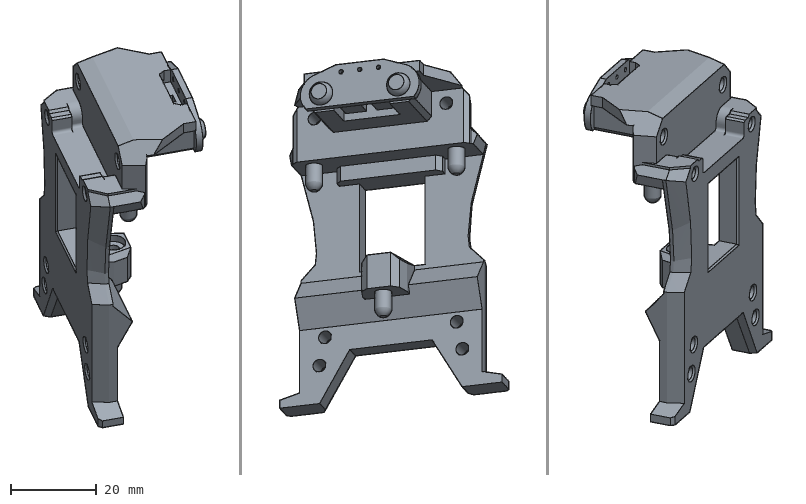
import cadquery as cq
import math


EDGE_Y = 4.0
PLATE_BACK_Y = 4.9
LOWER_BACK_Y = 5.97
FOOT_X = 27.35
FOOT_TIP_Z = 2.0
FOOT_CHAMFER = 0.85
LOWER_TOP_Z = 25.0
EAR_CHAMFER_Z = 62.4
EAR_TOP_Z = 63.0

FRONT_OUTLINE = [
    (FOOT_X, 0), (FOOT_X, FOOT_TIP_Z), (21.5, 3.5), (21.5, 31.9), (17.9, 35.6), (17.45, 39.0),
    (18.05, 48.4), (20.6, 59.9), (18.1, EAR_CHAMFER_Z), (18.1, EAR_TOP_Z),
]
BACK_OUTLINE = [
    (FOOT_X, 0), (FOOT_X, FOOT_TIP_Z), (22.45, 3.25), (22.45, 31.6), (18.95, 35.2), (18.65, 38.0),
    (19.4, 46.1), (23.07, 60.5), (21.1, EAR_CHAMFER_Z), (21.1, EAR_TOP_Z),
]

WINDOW_HALF = 8.05
WINDOW_BOTTOM_Z = 32.1
WINDOW_TOP_Z = 54.1
WINDOW_CHAMFER = 0.4
NOTCH_TOP = (10.1, 12.6)
NOTCH_FOOT_X = 17.5
NOTCH_BEVEL = 0.9
NOTCH_CORNER_BEVEL = 0.72
NOTCH_BEVEL_Y = 1.5

SADDLE_Z = 58.2
STEP_Y = 4.83
EAR_WALL_X = 11.3
EAR_FILLET = 0.8
EAR_SHOULDER = [(EAR_WALL_X, 62.0), (11.9, EAR_CHAMFER_Z), (13.5, EAR_CHAMFER_Z), (14.1, EAR_TOP_Z)]
EAR_HOLE = (15.5, 59.9)
EAR_BOSS_RADIUS = 3.1
LINTEL_HALF = 13.0
LINTEL_BACK_Y = 8.0
LINTEL_CHAMFER = 1.3

BRACKET_Y = 7.75
BRACKET_BACK_Y = 13.76
FLANGE_BOTTOM_Z = 57.83
FLANGE_BACK_Y = 12.75
FLANGE_BOTTOM_HALF = 22.36
FLANGE_CORNER = [(23.5, 10.9), (21.9, FLANGE_BACK_Y), (23.5, FLANGE_BACK_Y)]
BRACKET_HALF = 20.25
SLAB_BACK_BEVEL = [(25.0, 10.9), (20.5, BRACKET_BACK_Y)]
ROOF_HALF = 20.7
ROOF_CORNER_Y = 15.1
BRACKET_CORNER_Z = 69.8
BRACKET_CORNER = 3.35
DRAFT = math.tan(math.radians(15))
ROOF_Z = 74.16
ROOF_BOTTOM_Z = 71.5
ROOF_SLOPE_Y = 24.5
ROOF_BACK_HALF = 14.2
BOX_HALF = 12.6
BOX_BOTTOM_Z = 64.2
BOX_CHAMFER = 1.1

BOARD_Y = 27.48
BOARD_THICKNESS = 1.6
BOARD_BACK_Y = BOARD_Y + BOARD_THICKNESS
BOARD_BOTTOM_Z = 64.7
BOARD_TOP_Z = 74.89
BOARD_TAB_HALF = 5.9
BOARD_END_RADIUS = 5.1
BOARD_SHOULDER_ANGLE = 25.0
BOARD_HOLE_DIAMETER = 1.0
BOARD_HOLE_X = 4.6
BOARD_HOLE_Z = 73.0
SCREW_X = 9.5
SCREW_Z = 68.1
SCREW_DIAMETER = 3.0
SCREW_LENGTH = 6.0
HEAD_DIAMETER = 5.7
HEAD_FLAT_DIAMETER = 3.8
HEAD_BACK_Y = 30.73
HEAD_BULGE = (2.52, 0.99)
SENSOR_HALF = 6.4
SENSOR_FRONT_Y = 20.0
SENSOR_BOTTOM_Z = 66.0
SENSOR_TOP_Z = 71.0
SENSOR_SLOT_HALF = 1.3
SENSOR_SLOT_BACK_Y = 26.4
POCKET_HALF = 6.9
POCKET_NARROW_HALF = 5.9
POCKET_CHAMFER_Y = 25.9

PIN_DIAMETER = 4.0
PIN_TIP_DIAMETER = 1.6
PIN_TIP_HEIGHT = 1.6
PIN_TIP_BULGE = (1.6, 0.72)
UPPER_PIN = (17.5, 10.05)
UPPER_PIN_BOTTOM_Z = 51.65
UPPER_PIN_TOP_Z = 61.0
LOWER_PIN_Y = 11.58
LOWER_PIN_BOTTOM_Z = 17.6
LOWER_PIN_TOP_Z = 29.0
PIN_SCREW_DIAMETER = 2.8
PIN_SCREW_HEAD_DIAMETER = 5.7
PIN_SCREW_HEAD_DEPTH = 1.8
SHELF_BOTTOM_Z = 23.65
SHELF_BACK_Y = 15.0
SHELF_HALF = 5.5
SHELF_TAPER_Y = 10.2
SHELF_TAPER = 0.25
SHELF_CORNER_Y = 13.6
SHELF_CHAMFER = 1.4
WEDGE_TOP_Z = 31.0
WEDGE_TIP = (9.6, 25.6)
WEDGE_FOOT_Z = 18.8
WEDGE_HALF = 22.45

MOUNT_X = 16.2
MOUNT_ZS = (16.4, 68.2)
LEG_HOLE = (17.57, 9.5)
MOUNT_DIAMETER = 3.1
MOUNT_RIM_DIAMETER = 4.0
EAR_HOLE_DIAMETER = 2.6
EAR_RIM_DIAMETER = 3.7
EAR_HOLE_DEPTH = 7.0

BEYOND = 1.0


def front_plane(y):
    """Sketch plane at depth y: local x is X, local y is Z, negative extrusions grow along +Y."""
    return cq.Workplane(cq.Plane((0, y, 0), (1, 0, 0), (0, -1, 0)))


def prism(points, y0, y1):
    """Prism between two depths from (X, Z) points."""
    return front_plane(y0).polyline(points).close().extrude(y0 - y1)


def mirrored(points):
    """Close a right-half outline with its reflection."""
    return points + [(-x, v) for x, v in reversed(points)]


def block(x_half, y0, y1, z0, z1):
    """Box centred on X = 0."""
    solid = cq.Workplane("XY").box(2 * x_half, y1 - y0, z1 - z0, centered=(True, False, False))
    return solid.translate((0, y0, z0))


def plan_prism(points, z0, z1):
    """Prism between two heights from (X, Y) points."""
    return cq.Workplane("XY", origin=(0, 0, z0)).polyline(points).close().extrude(z1 - z0)


def round_bar(x, z, diameter, y0, y1):
    """Cylinder along Y."""
    return front_plane(y0).center(x, z).circle(diameter / 2).extrude(y0 - y1)


def both_sides(half):
    """A right-hand cutter together with its mirror image."""
    return half.union(half.mirror("YZ"))



def plate_blank():
    """Plate with bevelled sides, ears and chamfered feet, before any opening is cut."""
    bevelled = (
        front_plane(0).polyline(mirrored(FRONT_OUTLINE)).close()
        .workplane(offset=-EDGE_Y).polyline(mirrored(BACK_OUTLINE)).close()
        .loft(ruled=True)
    )
    outline = mirrored(BACK_OUTLINE)
    upper = prism(outline, EDGE_Y, PLATE_BACK_Y)
    lower = prism(outline, EDGE_Y, LOWER_BACK_Y).intersect(block(FOOT_X, 0, LOWER_BACK_Y, 0, LOWER_TOP_Z))
    plate = bevelled.union(upper).union(lower)
    corner = plan_prism(
        [(FOOT_X - FOOT_CHAMFER, 0), (FOOT_X, FOOT_CHAMFER), (FOOT_X + BEYOND, 0), (FOOT_X, -BEYOND)],
        0, FOOT_TIP_Z + BEYOND,
    )
    return plate.cut(both_sides(corner))


def notch():
    """Bottom opening between the legs, with a bevel towards the front face."""
    top_x, top_z = NOTCH_TOP
    slope = (NOTCH_FOOT_X - top_x) / top_z
    low_x = NOTCH_FOOT_X + slope * BEYOND
    inner = [(low_x, -BEYOND), (top_x, top_z)]
    outer = [(low_x + NOTCH_BEVEL, -BEYOND), (top_x + NOTCH_CORNER_BEVEL, top_z + NOTCH_BEVEL)]
    bevel = (
        front_plane(0).polyline(mirrored(outer)).close()
        .workplane(offset=-NOTCH_BEVEL_Y).polyline(mirrored(inner)).close()
        .loft(ruled=True)
    )
    return prism(mirrored(inner), 0, LOWER_BACK_Y + BEYOND).union(bevel)


def window():
    """Rectangular opening with a small chamfer at the front face."""
    middle_z = (WINDOW_BOTTOM_Z + WINDOW_TOP_Z) / 2
    width = 2 * WINDOW_HALF
    height = WINDOW_TOP_Z - WINDOW_BOTTOM_Z
    opening = block(WINDOW_HALF, 0, LINTEL_BACK_Y + BEYOND, WINDOW_BOTTOM_Z, WINDOW_TOP_Z)
    rim = (
        front_plane(0).center(0, middle_z).rect(width + 2 * WINDOW_CHAMFER, height + 2 * WINDOW_CHAMFER)
        .workplane(offset=-WINDOW_CHAMFER).rect(width, height).loft(ruled=True)
    )
    return opening.union(rim)


def ear_gap():
    """Space between the ears: stepped at the front, rounded around the ear holes behind."""
    above = EAR_TOP_Z + BEYOND
    fillet = EAR_FILLET
    wall = EAR_WALL_X
    shoulder_top_x = EAR_SHOULDER[-1][0]
    bend = fillet * (1 - math.sqrt(0.5))
    stepped = (
        front_plane(0).moveTo(0, SADDLE_Z).lineTo(wall - fillet, SADDLE_Z)
        .threePointArc((wall - bend, SADDLE_Z + bend), (wall, SADDLE_Z + fillet))
        .polyline(EAR_SHOULDER + [(shoulder_top_x, above), (0, above)], includeCurrent=True)
        .close().extrude(-STEP_Y)
    )
    x, z = EAR_HOLE
    r = EAR_BOSS_RADIUS
    diagonal = r * math.sqrt(0.5)
    rounded = (
        front_plane(STEP_Y).moveTo(0, SADDLE_Z).lineTo(x - r - fillet, SADDLE_Z)
        .threePointArc((x - r - bend, SADDLE_Z + bend), (x - r, SADDLE_Z + fillet)).lineTo(x - r, z)
        .threePointArc((x - diagonal, z + diagonal), (x, z + r))
        .lineTo(x, above).lineTo(0, above).close().extrude(STEP_Y - BRACKET_Y)
    )
    return both_sides(stepped.union(rounded))


def flange():
    """Ears carried back to the bracket, with their rear corners bevelled."""
    half = [(FLANGE_BOTTOM_HALF, FLANGE_BOTTOM_Z)] + BACK_OUTLINE[-3:]
    corner = plan_prism(FLANGE_CORNER, FLANGE_BOTTOM_Z, EAR_TOP_Z)
    return prism(mirrored(half), EDGE_Y, FLANGE_BACK_Y).cut(both_sides(corner))


def bracket():
    """Drafted slab above the plate, with the roof and box that carry the board."""
    def section(y):
        grow = DRAFT * (y - BRACKET_Y)
        side = BRACKET_HALF + grow
        top = BRACKET_CORNER_Z + BRACKET_CORNER + grow
        return mirrored([
            (side, FLANGE_BOTTOM_Z), (side, BRACKET_CORNER_Z), (BRACKET_HALF - BRACKET_CORNER, top),
        ])

    drafted = (
        front_plane(BRACKET_Y).polyline(section(BRACKET_Y)).close()
        .workplane(offset=BRACKET_Y - BOARD_Y).polyline(section(BOARD_Y)).close()
        .loft(ruled=True)
    )
    slab_plan = mirrored([(SLAB_BACK_BEVEL[0][0], BRACKET_Y)] + SLAB_BACK_BEVEL)
    slab = plan_prism(slab_plan, FLANGE_BOTTOM_Z, ROOF_Z)
    roof_plan = mirrored([
        (ROOF_HALF, BRACKET_BACK_Y - BEYOND), (ROOF_HALF, ROOF_CORNER_Y),
        (ROOF_BACK_HALF, ROOF_SLOPE_Y), (ROOF_BACK_HALF, BOARD_Y),
    ])
    roof = plan_prism(roof_plan, ROOF_BOTTOM_Z, ROOF_Z)
    box = block(BOX_HALF, BRACKET_BACK_Y - BEYOND, BOARD_Y, BOX_BOTTOM_Z, ROOF_BOTTOM_Z)
    box = box.edges("|Y and <Z").chamfer(BOX_CHAMFER)
    return drafted.intersect(slab.union(roof)).union(box).cut(sensor_pocket())


def sensor_pocket():
    """Room for the fork sensor: open below, and open above behind the roof."""
    bay = block(POCKET_HALF, SENSOR_FRONT_Y, BOARD_Y, BOX_BOTTOM_Z, ROOF_BOTTOM_Z)
    mouth = mirrored([
        (POCKET_NARROW_HALF, ROOF_SLOPE_Y), (POCKET_HALF, POCKET_CHAMFER_Y), (POCKET_HALF, BOARD_Y),
    ])
    return bay.union(plan_prism(mouth, ROOF_BOTTOM_Z, ROOF_Z))


def pin_shelf():
    """Tongue that holds the lower pin, with a full-width wedge under its root."""
    def edge_x(y):
        return SHELF_HALF - SHELF_TAPER * (y - SHELF_TAPER_Y)

    plan = mirrored([
        (SHELF_HALF, EDGE_Y), (SHELF_HALF, SHELF_TAPER_Y), (edge_x(SHELF_CORNER_Y), SHELF_CORNER_Y),
        (edge_x(SHELF_BACK_Y) - SHELF_CHAMFER, SHELF_BACK_Y),
    ])
    chamfer_z = WINDOW_BOTTOM_Z - SHELF_CHAMFER
    base = plan_prism(plan, SHELF_BOTTOM_Z, chamfer_z)
    tapered = [(edge_x(EDGE_Y), EDGE_Y), (edge_x(SHELF_BACK_Y), SHELF_BACK_Y)]
    cap = (
        cq.Workplane("XY", origin=(0, 0, chamfer_z)).polyline(mirrored(tapered)).close()
        .workplane(offset=SHELF_CHAMFER)
        .polyline(mirrored([(x - SHELF_CHAMFER, y) for x, y in tapered])).close().loft(ruled=True)
    )
    tongue = base.union(cap.intersect(plan_prism(plan, chamfer_z, WINDOW_BOTTOM_Z)))
    profile = [(EDGE_Y, WEDGE_TOP_Z), (PLATE_BACK_Y, WEDGE_TOP_Z), WEDGE_TIP, (LOWER_BACK_Y, WEDGE_FOOT_Z),
               (EDGE_Y, WEDGE_FOOT_Z)]
    wedge = cq.Workplane("YZ").polyline(profile).close().extrude(WEDGE_HALF, both=True)
    return tongue.union(wedge)


def rimmed_hole(x, z, diameter, rim_diameter, y0, y1):
    """Hole along Y from depth y0 to y1, with a 45-degree rim at y0."""
    rim_depth = (rim_diameter - diameter) / 2
    rim = (
        front_plane(y0).center(x, z).circle(rim_diameter / 2)
        .workplane(offset=-rim_depth).circle(diameter / 2).loft(ruled=True)
    )
    return round_bar(x, z, diameter, y0, y1).union(rim)


def pin_screw_hole():
    """Counterbored hole from the top of the tongue down to the lower pin."""
    return (
        cq.Workplane("XY", origin=(0, LOWER_PIN_Y, WINDOW_BOTTOM_Z))
        .circle(PIN_SCREW_DIAMETER / 2).extrude(LOWER_PIN_TOP_Z - WINDOW_BOTTOM_Z)
        .faces(">Z").workplane().circle(PIN_SCREW_HEAD_DIAMETER / 2).extrude(-PIN_SCREW_HEAD_DEPTH)
    )


def make_backplate():
    """Plate, ears, bracket and pin shelf in one body, with all Y-directed holes."""
    body = plate_blank().union(flange()).cut(ear_gap())
    lintel = block(LINTEL_HALF, EDGE_Y, LINTEL_BACK_Y, WINDOW_TOP_Z, SADDLE_Z)
    body = body.union(lintel.edges("|Z and >Y").chamfer(LINTEL_CHAMFER))
    body = body.union(bracket()).union(pin_shelf()).cut(window()).cut(notch())
    lower_z, upper_z = MOUNT_ZS
    for side in (-1, 1):
        for x, z, face_y in ((MOUNT_X, lower_z, 0), (MOUNT_X, upper_z, BRACKET_Y), (*LEG_HOLE, 0)):
            body = body.cut(
                rimmed_hole(side * x, z, MOUNT_DIAMETER, MOUNT_RIM_DIAMETER, face_y, SHELF_BACK_Y + BEYOND)
            )
        ear_x, ear_z = EAR_HOLE
        ear_hole = rimmed_hole(side * ear_x, ear_z, EAR_HOLE_DIAMETER, EAR_RIM_DIAMETER, 0, EAR_HOLE_DEPTH)
        body = body.cut(ear_hole)
    return body.cut(pin_screw_hole())



def make_pin(x, y, bottom_z, top_z):
    """Vertical pin with a domed lower end."""
    r = PIN_DIAMETER / 2
    tip = PIN_TIP_DIAMETER / 2
    return (
        cq.Workplane("XZ").moveTo(0, 0).lineTo(tip, 0)
        .threePointArc(PIN_TIP_BULGE, (r, PIN_TIP_HEIGHT))
        .lineTo(r, top_z - bottom_z).lineTo(0, top_z - bottom_z).close()
        .revolve(360, (0, 0, 0), (0, 1, 0)).translate((x, y, bottom_z))
    )


def make_board():
    """Board with round ends about its screws and a raised middle tab."""
    r = BOARD_END_RADIUS
    rise = math.radians(BOARD_SHOULDER_ANGLE)
    shoulder_x = SCREW_X + r * math.sin(rise)
    shoulder_z = SCREW_Z + r * math.cos(rise)
    bottom_x = SCREW_X + math.sqrt(r ** 2 - (SCREW_Z - BOARD_BOTTOM_Z) ** 2)
    board = (
        front_plane(BOARD_Y).moveTo(-bottom_x, BOARD_BOTTOM_Z).lineTo(bottom_x, BOARD_BOTTOM_Z)
        .threePointArc((SCREW_X + r, SCREW_Z), (shoulder_x, shoulder_z))
        .lineTo(BOARD_TAB_HALF, BOARD_TOP_Z).lineTo(-BOARD_TAB_HALF, BOARD_TOP_Z)
        .lineTo(-shoulder_x, shoulder_z)
        .threePointArc((-SCREW_X - r, SCREW_Z), (-bottom_x, BOARD_BOTTOM_Z))
        .close().extrude(-BOARD_THICKNESS)
    )
    for x in (-BOARD_HOLE_X, 0, BOARD_HOLE_X):
        board = board.cut(round_bar(x, BOARD_HOLE_Z, BOARD_HOLE_DIAMETER, BOARD_Y, BOARD_BACK_Y))
    return board


def make_sensor():
    """Fork sensor, its slot open towards the front."""
    body = block(SENSOR_HALF, SENSOR_FRONT_Y, BOARD_Y, SENSOR_BOTTOM_Z, SENSOR_TOP_Z)
    slot = block(SENSOR_SLOT_HALF, SENSOR_FRONT_Y, SENSOR_SLOT_BACK_Y, SENSOR_BOTTOM_Z, SENSOR_TOP_Z)
    return body.cut(slot)


def make_screw(x):
    """Button-head screw pointing towards the front."""
    head_height = HEAD_BACK_Y - BOARD_BACK_Y
    head = (
        cq.Workplane("XY").lineTo(HEAD_DIAMETER / 2, 0)
        .threePointArc(HEAD_BULGE, (HEAD_FLAT_DIAMETER / 2, head_height))
        .lineTo(0, head_height).close().revolve(360, (0, 0, 0), (0, 1, 0))
        .translate((x, BOARD_BACK_Y, SCREW_Z))
    )
    return head.union(round_bar(x, SCREW_Z, SCREW_DIAMETER, BOARD_BACK_Y - SCREW_LENGTH, BOARD_BACK_Y))


pins = [make_pin(side * UPPER_PIN[0], UPPER_PIN[1], UPPER_PIN_BOTTOM_Z, UPPER_PIN_TOP_Z) for side in (-1, 1)]
pins.append(make_pin(0, LOWER_PIN_Y, LOWER_PIN_BOTTOM_Z, LOWER_PIN_TOP_Z))
screws = [make_screw(side * SCREW_X) for side in (-1, 1)]
sensor = make_sensor()
board = make_board()
backplate = make_backplate()

for screw in screws:
    board = board.cut(screw)
    backplate = backplate.cut(screw)
for pin in pins:
    backplate = backplate.cut(pin)

fasteners = [body.val() for body in pins + screws]
result = cq.Compound.makeCompound([backplate.val(), board.val(), sensor.val(), *fasteners])